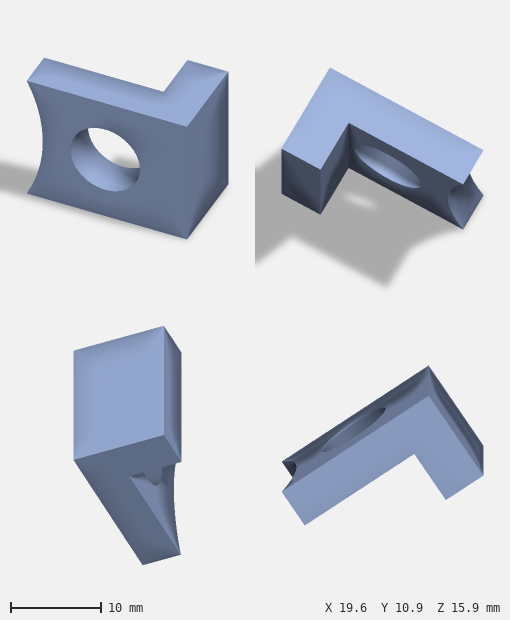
import cadquery as cq
import math

length = 19.6
depth = 10.9
height = 15.9

plate_thickness = 4.6
flange_thickness = 5.0

hole_diameter = 8.5
hole_to_flange_face = 10.0

end_radius = 17.0

half_height = height / 2
end_sagitta = end_radius - math.sqrt(end_radius**2 - half_height**2)


def plate():
    """Plate standing in XZ, with a concave arc as its -X end."""
    return (
        cq.Workplane("XZ")
        .moveTo(0, -half_height)
        .lineTo(length, -half_height)
        .lineTo(length, half_height)
        .lineTo(0, half_height)
        .threePointArc((end_sagitta, 0), (0, -half_height))
        .close()
        .extrude(-plate_thickness)
    )


def flange():
    """Full-height flange along the +X end, rising from the plate toward +Y."""
    return cq.Workplane("XY").box(
        flange_thickness, depth, height, centered=(False, False, True)
    ).translate((length - flange_thickness, 0, 0))


def plate_hole():
    """Cylinder that cuts the round hole through the plate along Y."""
    return (
        cq.Workplane("XZ")
        .center(length - hole_to_flange_face, 0)
        .circle(hole_diameter / 2)
        .extrude(-plate_thickness)
    )


result = plate().union(flange()).cut(plate_hole())